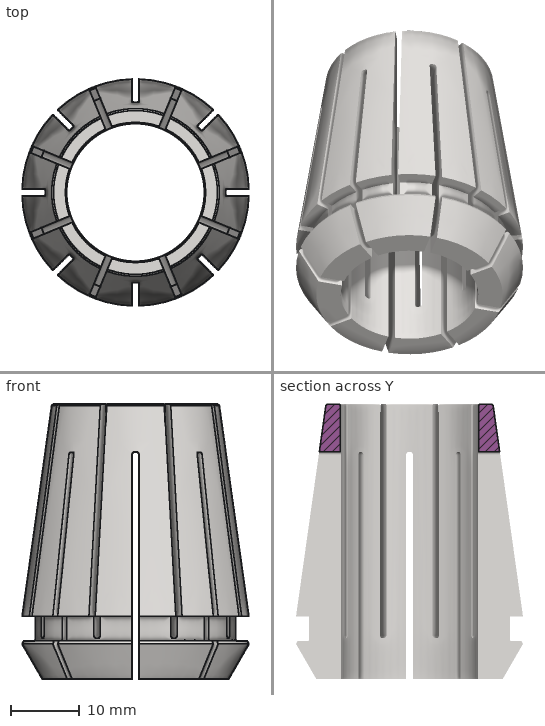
import cadquery as cq
import math

HEIGHT = 40.0
OUTER_RADIUS = 16.5
BORE_RADIUS = 10.0

CONE_HALF_ANGLE = 8.0
CONE_BASE_Z = 9.1
TOP_EDGE_CHAMFER = 0.25
BORE_EDGE_CHAMFER = 0.2

GROOVE_RADIUS = 14.6
GROOVE_BASE_Z = 5.55
GROOVE_ROOT_FILLET = 0.2
NOSE_HALF_ANGLE = 30.0
NOSE_BASE_RADIUS = 13.55
RIM_INSET = 0.25

SLOT_WIDTH = 1.0
SLOT_CORNER_RADIUS = 0.4
SLOTS_PER_END = 8
LOWER_SLOT_TOP_Z = 33.0
UPPER_SLOT_BASE_Z = 5.95
SLOT_OVERRUN = 5.0

cone_slope = math.tan(math.radians(CONE_HALF_ANGLE))
cone_top_radius = OUTER_RADIUS - (HEIGHT - CONE_BASE_Z) * cone_slope
nose_top_z = (OUTER_RADIUS - NOSE_BASE_RADIUS) / math.tan(math.radians(NOSE_HALF_ANGLE))


def make_body():
    """Revolved collet: nose flange, groove, clamping cone and straight bore."""
    chamfer_bottom_z = HEIGHT - TOP_EDGE_CHAMFER
    chamfer_bottom_radius = cone_top_radius + TOP_EDGE_CHAMFER * cone_slope
    root_start = (GROOVE_RADIUS + GROOVE_ROOT_FILLET, GROOVE_BASE_Z)
    root_end = (GROOVE_RADIUS, GROOVE_BASE_Z + GROOVE_ROOT_FILLET)
    profile = (
        cq.Workplane("XZ")
        .moveTo(BORE_RADIUS, 0)
        .lineTo(NOSE_BASE_RADIUS, 0)
        .lineTo(OUTER_RADIUS, nose_top_z)
        .lineTo(OUTER_RADIUS - RIM_INSET, GROOVE_BASE_Z)
        .lineTo(*root_start)
        .tangentArcPoint(root_end, relative=False)
        .lineTo(GROOVE_RADIUS, CONE_BASE_Z)
        .lineTo(OUTER_RADIUS, CONE_BASE_Z)
        .lineTo(chamfer_bottom_radius, chamfer_bottom_z)
        .lineTo(cone_top_radius - TOP_EDGE_CHAMFER, HEIGHT)
        .lineTo(BORE_RADIUS + BORE_EDGE_CHAMFER, HEIGHT)
        .lineTo(BORE_RADIUS, HEIGHT - BORE_EDGE_CHAMFER)
        .close()
    )
    return profile.revolve(360, (0, 0, 0), (0, 1, 0))


def make_slot(open_z, closed_z, angle):
    """Radial slot, open at open_z, with a narrow flat and rounded corners at closed_z."""
    toward_open = math.copysign(1, open_z - closed_z)
    length = abs(open_z - closed_z) + SLOT_OVERRUN
    reach = OUTER_RADIUS + SLOT_OVERRUN
    closed_end_edges = "|X and <Z" if toward_open > 0 else "|X and >Z"
    return (
        cq.Workplane("XY")
        .box(reach, SLOT_WIDTH, length, centered=(False, True, True))
        .edges(closed_end_edges)
        .fillet(SLOT_CORNER_RADIUS)
        .translate((0, 0, closed_z + toward_open * length / 2))
        .rotate((0, 0, 0), (0, 0, 1), angle)
    )


slot_pitch = 360 / SLOTS_PER_END
result = make_body()
for index in range(SLOTS_PER_END):
    lower_angle = index * slot_pitch
    upper_angle = lower_angle + slot_pitch / 2
    result = result.cut(make_slot(0, LOWER_SLOT_TOP_Z, lower_angle))
    result = result.cut(make_slot(HEIGHT, UPPER_SLOT_BASE_Z, upper_angle))